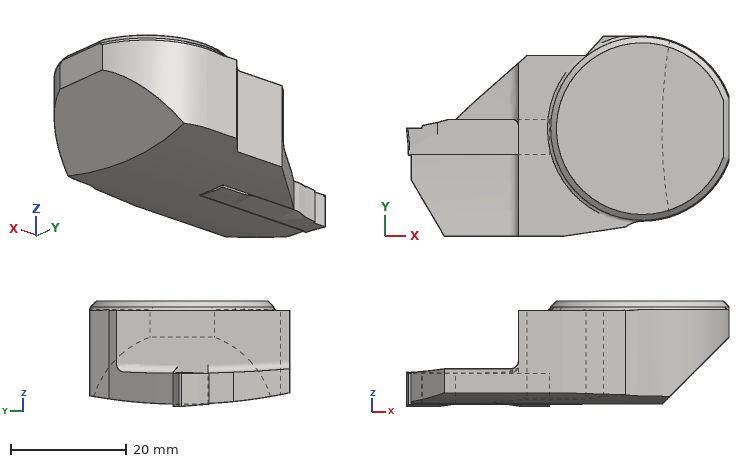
import cadquery as cq
import math

SHANK_RADIUS = 16.1
BOSS_RADIUS = 15.95
BOSS_CHAMFER = 1.0
BOSS_FILLET = 0.55
FLAT_X = 15.1
TOP_Z = 18.35

SHOULDER_Z = 16.7
KEEL_Z = 0.4
KEEL_RADIUS = 89.2
FRONT_Y = -18.75
NOSE_X = -40.15
WALL_X = -21.55
FLOOR_Z = 5.8
FLOOR_RADIUS = 223.3
FLOOR_FILLET = 1.4
HEEL_Z = 12.05
BLEND_START = (-2.9, -17.1)

TIP_X = -41.0
INSERT_BACK_X = -16.1
INSERT_FRONT_Y = -4.5
INSERT_BACK_Y = 1.6
INSERT_FRONT_BOTTOM_Z = 0.4
SEAT_CORNER_RADIUS = 1.1
CHIP_FACE_START = (-40.15, -3.5)
CHIP_FACE_END = (-35.6, -0.9)
CHIP_FACE_RISE = 0.2
CHIP_FACE_WIDTH = 4.2
TIP_EDGE_RADIUS = 0.3
RELIEF_DEPTH = 0.35
RELIEF_START_X = -35.35
RELIEF_END_X = -21.05
RELIEF_RAMP = 2.25

MARGIN = 5.6


def x_cylinder(radius, center_z):
    """Long cylinder along X, centred above the part's axis."""
    length = 4 * SHANK_RADIUS + 2 * MARGIN
    return (
        cq.Workplane("YZ", origin=(TIP_X - MARGIN, 0, 0))
        .center(0, center_z)
        .circle(radius)
        .extrude(length)
    )


def holder_prism():
    """Plan outline of the holder, carried up to the top of the boss."""
    flat_half = math.sqrt(SHANK_RADIUS**2 - FLAT_X**2)
    diagonal = SHANK_RADIUS * math.sqrt(0.5)
    blend_x = BLEND_START[0]
    blend_drop = -SHANK_RADIUS - BLEND_START[1]
    blend_radius = (blend_x**2 + blend_drop**2) / (2 * blend_drop)
    blend_sag = blend_radius - math.sqrt(blend_radius**2 - (blend_x / 2) ** 2)
    return (
        cq.Workplane("XY")
        .moveTo(NOSE_X, INSERT_FRONT_Y)
        .lineTo(NOSE_X, -8.9)
        .lineTo(-34.4, FRONT_Y)
        .lineTo(-13.85, FRONT_Y)
        .lineTo(*BLEND_START)
        .threePointArc((blend_x / 2, -SHANK_RADIUS - blend_sag), (0, -SHANK_RADIUS))
        .threePointArc((diagonal, -diagonal), (FLAT_X, -flat_half))
        .lineTo(FLAT_X, flat_half)
        .threePointArc((diagonal, diagonal), (0, SHANK_RADIUS))
        .lineTo(-6.75, SHANK_RADIUS)
        .lineTo(-9.8, 12.75)
        .lineTo(-20.0, 12.75)
        .lineTo(-29.3, 4.6)
        .lineTo(-32.4, INSERT_BACK_Y)
        .close()
        .extrude(TOP_Z)
    )


def boss_envelope():
    """Everything below the shoulder, plus the boss with its foot fillet and chamfer above it."""
    reach = 4 * SHANK_RADIUS
    chamfer_z = TOP_Z - BOSS_CHAMFER
    boss = (
        cq.Workplane("XZ")
        .lineTo(reach, 0)
        .lineTo(reach, SHOULDER_Z)
        .lineTo(BOSS_RADIUS + BOSS_FILLET, SHOULDER_Z)
        .radiusArc((BOSS_RADIUS, SHOULDER_Z + BOSS_FILLET), BOSS_FILLET)
        .lineTo(BOSS_RADIUS, chamfer_z)
        .lineTo(BOSS_RADIUS - BOSS_CHAMFER, TOP_Z)
        .lineTo(0, TOP_Z)
        .close()
        .revolve(360, (0, 0, 0), (0, 1, 0))
    )
    flat_bevel = (
        cq.Workplane("XZ", origin=(0, SHANK_RADIUS, 0))
        .polyline([
            (FLAT_X - BOSS_CHAMFER, TOP_Z),
            (FLAT_X, chamfer_z),
            (FLAT_X, TOP_Z),
        ])
        .close()
        .extrude(2 * SHANK_RADIUS)
    )
    return boss.cut(flat_bevel)


def ledge_cut():
    """Space above the slightly hollow ledge, with a rounded foot at the wall."""
    space = (
        cq.Workplane("XY")
        .box(WALL_X - TIP_X + MARGIN, 4 * SHANK_RADIUS, TOP_Z, centered=(False, True, False))
        .translate((TIP_X - MARGIN, 0, FLOOR_Z))
        .intersect(x_cylinder(FLOOR_RADIUS, FLOOR_Z + FLOOR_RADIUS))
    )
    foot = cq.selectors.BoxSelector(
        (WALL_X - 0.05, -MARGIN, FLOOR_Z - 0.05), (WALL_X + 0.05, MARGIN, FLOOR_Z + MARGIN)
    )
    return space.edges(foot).fillet(FLOOR_FILLET)


def heel_cut():
    """45 degree relief under the rear of the shank."""
    return (
        cq.Workplane("XZ", origin=(0, 2 * SHANK_RADIUS, 0))
        .polyline([
            (FLAT_X + MARGIN, HEEL_Z + MARGIN),
            (FLAT_X - HEEL_Z - MARGIN, -MARGIN),
            (FLAT_X + MARGIN, -MARGIN),
        ])
        .close()
        .extrude(4 * SHANK_RADIUS)
    )


def insert_seat_clearance():
    """Opening through the ledge fillet above the insert, back to the wall."""
    return (
        cq.Workplane("XY", origin=(0, 0, FLOOR_Z))
        .moveTo(TIP_X, INSERT_FRONT_Y)
        .lineTo(WALL_X, INSERT_FRONT_Y)
        .lineTo(WALL_X, INSERT_BACK_Y - SEAT_CORNER_RADIUS)
        .radiusArc((WALL_X - SEAT_CORNER_RADIUS, INSERT_BACK_Y), -SEAT_CORNER_RADIUS)
        .lineTo(TIP_X, INSERT_BACK_Y)
        .close()
        .extrude(FLOOR_FILLET + 0.3)
    )


def insert_prism():
    """Plan outline of the cutting insert, with its stepped tip."""
    return (
        cq.Workplane("XY")
        .polyline([
            (TIP_X, 0.1),
            (-38.4, 0.1),
            (-38.2, 0.55),
            (-35.5, 1.1),
            (-33.65, INSERT_BACK_Y),
            (INSERT_BACK_X, INSERT_BACK_Y),
            (INSERT_BACK_X, INSERT_FRONT_Y),
            (NOSE_X, INSERT_FRONT_Y),
            (-40.2, -4.65),
            (-40.7, -4.65),
            (-40.75, -2.8),
        ])
        .close()
        .extrude(FLOOR_Z + 2 * CHIP_FACE_RISE)
    )


def insert_section():
    """Cross-section whose underside climbs towards the front."""
    return (
        cq.Workplane("YZ", origin=(TIP_X - MARGIN, 0, 0))
        .polyline([
            (MARGIN, 0),
            (0, 0),
            (INSERT_FRONT_Y, INSERT_FRONT_BOTTOM_Z),
            (INSERT_FRONT_Y - MARGIN, INSERT_FRONT_BOTTOM_Z),
            (INSERT_FRONT_Y - MARGIN, FLOOR_Z),
            (MARGIN, FLOOR_Z),
        ])
        .close()
        .extrude(INSERT_BACK_X - TIP_X + 2 * MARGIN)
    )


def chip_face():
    """Thin wedge on the tip, rising away from its slanted edge."""
    edge_x = CHIP_FACE_END[0] - CHIP_FACE_START[0]
    edge_y = CHIP_FACE_END[1] - CHIP_FACE_START[1]
    edge_length = math.hypot(edge_x, edge_y)
    plane = cq.Plane(
        origin=(*CHIP_FACE_START, FLOOR_Z),
        xDir=(-edge_y, edge_x, 0),
        normal=(edge_x, edge_y, 0),
    )
    wedge = (
        cq.Workplane(plane)
        .polyline([(0, 0), (CHIP_FACE_WIDTH, 0), (CHIP_FACE_WIDTH, CHIP_FACE_RISE)])
        .close()
        .extrude(edge_length + MARGIN, both=True)
    )
    tip_length = CHIP_FACE_END[0] - TIP_X
    tip_zone = (
        cq.Workplane("XY")
        .box(tip_length, 4 * MARGIN, TOP_Z, centered=(False, True, False))
        .translate((TIP_X, 0, 0))
    )
    return wedge.intersect(tip_zone).intersect(insert_prism())


def underside_relief():
    """Shallow arch between the two feet of the insert."""
    return (
        cq.Workplane("XZ", origin=(0, MARGIN, 0))
        .polyline([
            (RELIEF_START_X, 0),
            (RELIEF_START_X + RELIEF_RAMP, RELIEF_DEPTH),
            (RELIEF_END_X - RELIEF_RAMP, RELIEF_DEPTH),
            (RELIEF_END_X, 0),
        ])
        .close()
        .extrude(2 * MARGIN)
    )


def make_insert_blank():
    """Insert without its arch or chip face; also the shape of its seat."""
    return insert_prism().intersect(insert_section())


def make_insert():
    blank = make_insert_blank().cut(underside_relief())
    tip_edge = cq.selectors.BoxSelector(
        (TIP_X - 0.05, INSERT_FRONT_Y - 0.55, FLOOR_Z - 0.05), (NOSE_X - 0.45, 0.55, FLOOR_Z + 0.05)
    )
    blank = blank.edges(tip_edge).fillet(TIP_EDGE_RADIUS)
    return blank.union(chip_face())


def make_holder():
    holder = holder_prism().intersect(boss_envelope())
    holder = holder.intersect(x_cylinder(KEEL_RADIUS, KEEL_Z + KEEL_RADIUS))
    holder = holder.cut(ledge_cut()).cut(heel_cut())
    return holder.cut(insert_seat_clearance()).cut(make_insert_blank())


holder = make_holder()
insert = make_insert()
result = cq.Compound.makeCompound([holder.val(), insert.val()])